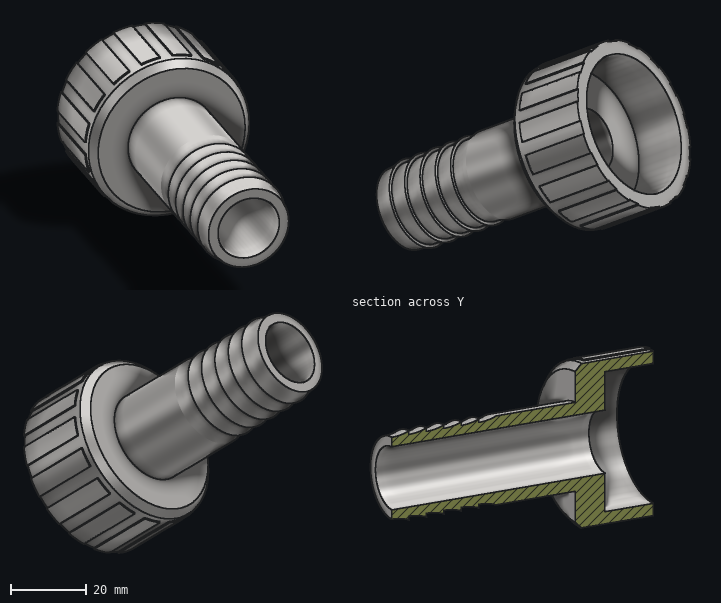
import cadquery as cq

total_length = 80.0

nut_length = 24.0
nut_diameter = 46.0
nut_chamfer = 2.0
socket_diameter = 39.0
socket_depth = 14.7

rib_count = 16
rib_length = 20.2
rib_angle = 13.5
rib_outer_diameter = 46.7
rib_pitch_angle = 360 / rib_count

tail_diameter = 25.0
bore_diameter = 17.5
barb_count = 6
barb_start = 48.0
barb_root_diameter = 23.0
barb_pitch = (total_length - barb_start) / barb_count


def cylinder(diameter, start, end):
    """Solid cylinder along X between two stations."""
    return cq.Workplane("YZ", origin=(start, 0, 0)).circle(diameter / 2).extrude(end - start)


def grip_rib(angle):
    """Raised pad on the nut, centred at the given angle from +Y about the X axis."""
    inner_radius = socket_diameter / 2 + (nut_diameter - socket_diameter) / 4
    return (
        cq.Workplane("XY")
        .moveTo(0, inner_radius)
        .lineTo(rib_length, inner_radius)
        .lineTo(rib_length, rib_outer_diameter / 2)
        .lineTo(0, rib_outer_diameter / 2)
        .close()
        .revolve(rib_angle, (0, 0, 0), (1, 0, 0))
        .rotate((0, 0, 0), (1, 0, 0), angle - rib_angle / 2)
    )


def barbed_tail():
    """Plain shank followed by barbs that flare concavely back to a sharp crest."""
    crest_radius = tail_diameter / 2
    root_radius = barb_root_diameter / 2
    profile = cq.Workplane("XY").moveTo(nut_length, 0).lineTo(total_length, 0)
    for barb in range(barb_count):
        tip = total_length - barb * barb_pitch
        profile = profile.lineTo(tip, root_radius)
        profile = profile.threePointArc(
            (tip - barb_pitch / 2, root_radius + (crest_radius - root_radius) / 4),
            (tip - barb_pitch, crest_radius),
        )
    return profile.lineTo(nut_length, crest_radius).close().revolve(360, (0, 0, 0), (1, 0, 0))


nut = cylinder(nut_diameter, 0, nut_length).faces(">X").edges().chamfer(nut_chamfer)
for rib in range(rib_count):
    nut = nut.union(grip_rib((rib + 0.5) * rib_pitch_angle))

result = (
    nut.union(barbed_tail())
    .cut(cylinder(socket_diameter, 0, socket_depth))
    .cut(cylinder(bore_diameter, 0, total_length))
)